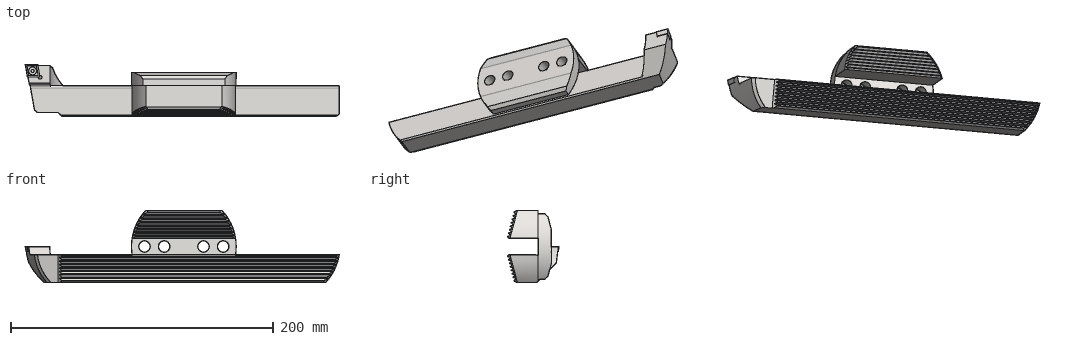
import cadquery as cq
import math

SWEEP_RADIUS = 40.0
HALF_HEIGHT = 27.5
HALF_GAP = 6.25
GRIP_HEIGHT = HALF_HEIGHT - HALF_GAP
GRIP_TILT = math.radians(15)
REACH = 200.0

FLANK_ANGLE = math.radians(30)
TOOTH_COUNT = 8
FACE_LENGTH = GRIP_HEIGHT / math.cos(GRIP_TILT)
TOOTH_PITCH = FACE_LENGTH / TOOTH_COUNT
TOOTH_FLAT = 0.35
TOOTH_DEPTH = (TOOTH_PITCH / 2 - TOOTH_FLAT) / math.tan(FLANK_ANGLE)
FIRST_TIP_Y = -23.5
TIP_START = (TOOTH_PITCH - TOOTH_FLAT) / 2
TIP_PLANE_Y = FIRST_TIP_Y - TIP_START * math.sin(GRIP_TILT)
END_CHAMFER = 2.2

PLATE_THICKNESS = 10.0
PLATE_HALF_HEIGHT = 25.0
PLATE_CHAMFER = 2.5
PLATE_TAPER_DEPTH = 2.5
HOLE_DIAMETER = 8.5
HOLE_POSITIONS = (-30.0, -15.0, 15.0, 30.0)

TOTAL_LENGTH = 239.57
CUTTING_TIP_X = -121.0
CUTTING_TIP_Y = 15.9
BAR_END_X = CUTTING_TIP_X + TOTAL_LENGTH
END_CENTRE_X = BAR_END_X - math.sqrt(SWEEP_RADIUS**2 - HALF_GAP**2)
LEDGE_WIDTH = 2.0
LEDGE_RIM_Z = -HALF_GAP - LEDGE_WIDTH * math.tan(GRIP_TILT)
WALL_FOOT_FILLET = 0.6
SELECT_TOLERANCE = 0.01
REAR_CHAMFER = 1.1
NOSE_ANGLE = math.radians(10)
HEAD_CLEARANCE = 0.5
HEAD_CORNER_X = CUTTING_TIP_X + HEAD_CLEARANCE
HEAD_REAR_Y = CUTTING_TIP_Y - HEAD_CLEARANCE
RELIEF_ANGLE = math.radians(7)
HEAD_INNER_X = -102.2
HEAD_STEP_X = -95.9
STEP_DEPTH = 3.0
CORNER_CHAMFER = 2.0

INSERT_WIDTH = 9.525
INSERT_THICKNESS = 3.97
CHIPBREAKER_RIM = 1.2
CHIPBREAKER_DEPTH = 0.2
INSERT_LEAN = INSERT_WIDTH * math.tan(NOSE_ANGLE)
INSERT_SIDE = INSERT_WIDTH / math.cos(NOSE_ANGLE)
INSERT_CENTRE_X = CUTTING_TIP_X + (INSERT_SIDE + INSERT_LEAN) / 2
INSERT_CENTRE_Y = CUTTING_TIP_Y - INSERT_WIDTH / 2
CORNER_HOLE_DIAMETER = 2.8

SCREW_HEAD_DIAMETER = 6.0
SCREW_SHANK_DIAMETER = 4.0
SCREW_HEAD_HEIGHT = 2.0
SCREW_RECESS = 0.3
SCREW_LENGTH = 10.0
SOCKET_DIAMETER = 2.6
SOCKET_DEPTH = 1.2
SOCKET_SIDES = 6


def face_point(along, depth):
    """(y, z) at a distance down the lower serrated face and a depth below its tip plane."""
    y = TIP_PLANE_Y + along * math.sin(GRIP_TILT) + depth * math.cos(GRIP_TILT)
    z = -HALF_GAP - along * math.cos(GRIP_TILT) + depth * math.sin(GRIP_TILT)
    return y, z


def plain_front():
    """Tip plane, listed from the bottom up."""
    return [face_point(FACE_LENGTH, 0), face_point(0, 0)]


def toothed_front():
    """Zigzag of the teeth, listed from the bottom up."""
    level_shift = TOOTH_DEPTH * math.tan(GRIP_TILT)
    points = [face_point(FACE_LENGTH + level_shift, TOOTH_DEPTH)]
    for i in reversed(range(TOOTH_COUNT)):
        start = i * TOOTH_PITCH
        end = start + TOOTH_PITCH
        if i < TOOTH_COUNT - 1:
            points.append(face_point(end - TOOTH_FLAT / 2, TOOTH_DEPTH))
        points.append(face_point(end - TIP_START, 0))
        points.append(face_point(start + TIP_START, 0))
        points.append(face_point(start + TOOTH_FLAT / 2, TOOTH_DEPTH))
    return points


def prism_along_x(points):
    return cq.Workplane("YZ").polyline(points).close().extrude(REACH, both=True)


def sweep_cylinder(centre_x):
    return cq.Workplane("XZ", origin=(centre_x, 0, 0)).circle(SWEEP_RADIUS).extrude(REACH, both=True)


def tooth_envelope():
    """Everything behind the zigzag of the lower serrated face."""
    return prism_along_x(toothed_front() + [(REACH, 0), (REACH, -REACH)])


def make_jaw():
    """Upper jaw, shaped below the slot and mirrored into place."""
    back = [(0, -HALF_GAP), (0, -HALF_HEIGHT)]
    block = prism_along_x(plain_front() + back).intersect(sweep_cylinder(0))
    block = block.faces("<Y").edges("not |X").chamfer(END_CHAMFER)
    block = block.intersect(tooth_envelope())
    return block.mirror("XY")


def make_plate():
    """Rear plate joining jaw and bar, drilled along its middle."""
    taper_y = PLATE_THICKNESS - PLATE_TAPER_DEPTH
    chamfer_z = PLATE_HALF_HEIGHT - PLATE_CHAMFER
    taper_z = chamfer_z - PLATE_TAPER_DEPTH / math.tan(GRIP_TILT)
    upper = [
        (PLATE_THICKNESS, taper_z),
        (taper_y, chamfer_z),
        (taper_y - PLATE_CHAMFER, PLATE_HALF_HEIGHT),
        (0, PLATE_HALF_HEIGHT),
    ]
    lower = [(y, -z) for y, z in reversed(upper)]
    holes = (
        cq.Workplane("XZ")
        .pushPoints([(x, 0) for x in HOLE_POSITIONS])
        .circle(HOLE_DIAMETER / 2)
        .extrude(REACH, both=True)
    )
    return prism_along_x(upper + lower).intersect(sweep_cylinder(0)).cut(holes)


def rounded_end(centre_x):
    """Everything left of a cylinder end centred on the cutting-edge height."""
    return (
        cq.Workplane("XZ")
        .moveTo(centre_x - 2 * REACH, SWEEP_RADIUS)
        .lineTo(centre_x, SWEEP_RADIUS)
        .threePointArc((centre_x + SWEEP_RADIUS, 0), (centre_x, -SWEEP_RADIUS))
        .lineTo(centre_x - 2 * REACH, -SWEEP_RADIUS)
        .close()
        .extrude(REACH, both=True)
    )


def make_shank():
    """Long serrated part of the bar with its rounded right end."""
    back = [
        (-LEDGE_WIDTH, -HALF_GAP),
        (0, LEDGE_RIM_Z),
        (0, REAR_CHAMFER - HALF_HEIGHT),
        (-REAR_CHAMFER, -HALF_HEIGHT),
    ]
    shank = prism_along_x(plain_front() + back).intersect(rounded_end(END_CENTRE_X))
    shank = shank.faces("<Y").edges(">X").chamfer(END_CHAMFER)
    return shank.intersect(tooth_envelope())


def make_head():
    """Block that carries the insert behind the shank."""
    wall_top_y = -LEDGE_RIM_Z * math.tan(GRIP_TILT)
    cut_offset = HALF_HEIGHT - REAR_CHAMFER
    rear_z = (HEAD_REAR_Y - cut_offset) / (1 - math.tan(RELIEF_ANGLE))
    profile = [
        (0, LEDGE_RIM_Z),
        (wall_top_y, 0),
        (HEAD_REAR_Y, 0),
        (rear_z + cut_offset, rear_z),
        (0, -cut_offset),
    ]
    sweep_centre_x = HEAD_INNER_X + SWEEP_RADIUS
    left_half = cq.Workplane("XY").box(REACH, REACH, REACH).translate((sweep_centre_x - REACH / 2, 0, 0))
    return prism_along_x(profile).intersect(left_half).cut(sweep_cylinder(sweep_centre_x))


def nose_envelope():
    """Rounded nose, leaning in plan about the head's rear corner."""
    envelope = rounded_end(0).mirror("YZ").translate((HEAD_CORNER_X + SWEEP_RADIUS, 0, 0))
    return envelope.rotate(
        (HEAD_CORNER_X, HEAD_REAR_Y, 0), (HEAD_CORNER_X, HEAD_REAR_Y, 1), math.degrees(NOSE_ANGLE)
    )


def front_step():
    """Cutter that removes the teeth in front of the head."""
    face_plane = cq.Plane(
        origin=(0, TIP_PLANE_Y, -HALF_GAP),
        xDir=(1, 0, 0),
        normal=(0, math.sin(GRIP_TILT), -math.cos(GRIP_TILT)),
    )
    return (
        cq.Workplane(face_plane)
        .polyline([
            (HEAD_STEP_X + STEP_DEPTH, 0),
            (HEAD_STEP_X, -STEP_DEPTH),
            (-REACH, -STEP_DEPTH),
            (-REACH, STEP_DEPTH),
            (HEAD_STEP_X + 2 * STEP_DEPTH, STEP_DEPTH),
        ])
        .close()
        .extrude(REACH, both=True)
    )


def rhombus():
    """Outline of the insert's top, with its sharp cutting corner at the rear left."""
    return (
        cq.Workplane("XY")
        .polyline([
            (CUTTING_TIP_X, CUTTING_TIP_Y),
            (CUTTING_TIP_X + INSERT_SIDE, CUTTING_TIP_Y),
            (CUTTING_TIP_X + INSERT_SIDE + INSERT_LEAN, CUTTING_TIP_Y - INSERT_WIDTH),
            (CUTTING_TIP_X + INSERT_LEAN, CUTTING_TIP_Y - INSERT_WIDTH),
        ])
        .close()
    )


def insert_blank():
    """Rhombic wedge whose sides lean in towards the seat."""
    return rhombus().extrude(-INSERT_THICKNESS, taper=math.degrees(RELIEF_ANGLE))


def make_screw():
    top = -SCREW_RECESS
    profile = [
        (0, top),
        (SCREW_HEAD_DIAMETER / 2, top),
        (SCREW_SHANK_DIAMETER / 2, top - SCREW_HEAD_HEIGHT),
        (SCREW_SHANK_DIAMETER / 2, -SCREW_LENGTH),
        (0, -SCREW_LENGTH),
    ]
    return (
        cq.Workplane("XZ")
        .polyline(profile)
        .close()
        .revolve(360, (0, 0, 0), (0, 1, 0))
        .faces(">Z")
        .workplane()
        .polygon(SOCKET_SIDES, SOCKET_DIAMETER)
        .cutBlind(-SOCKET_DEPTH)
        .translate((INSERT_CENTRE_X, INSERT_CENTRE_Y, 0))
    )


def screw_hole():
    """Countersunk hole that the screw fills up to its recessed head."""
    profile = [
        (0, 0),
        (SCREW_HEAD_DIAMETER / 2, 0),
        (SCREW_HEAD_DIAMETER / 2, -SCREW_RECESS),
        (SCREW_SHANK_DIAMETER / 2, -SCREW_RECESS - SCREW_HEAD_HEIGHT),
        (SCREW_SHANK_DIAMETER / 2, -SCREW_LENGTH),
        (0, -SCREW_LENGTH),
    ]
    hole = cq.Workplane("XZ").polyline(profile).close().revolve(360, (0, 0, 0), (0, 1, 0))
    return hole.translate((INSERT_CENTRE_X, INSERT_CENTRE_Y, 0))


def make_insert():
    chipbreaker = rhombus().offset2D(-CHIPBREAKER_RIM).extrude(-CHIPBREAKER_DEPTH)
    return insert_blank().cut(chipbreaker).cut(screw_hole())


def is_nose_corner(edge):
    """Curved edge between the nose and the flat in front of the head."""
    centre = edge.Center()
    return edge.geomType() != "LINE" and centre.x < HEAD_INNER_X and centre.y < -LEDGE_WIDTH


def is_wall_foot(edge):
    """Inside corner between the head's sloping inner wall and the ledge."""
    centre = edge.Center()
    at_ledge_rim = math.hypot(centre.y, centre.z - LEDGE_RIM_Z) < SELECT_TOLERANCE
    return at_ledge_rim and centre.x < HEAD_INNER_X + SWEEP_RADIUS / 2


def make_bar():
    bar = make_shank().union(make_head()).intersect(nose_envelope()).cut(front_step())
    bar = bar.edges().filter(is_nose_corner).chamfer(CORNER_CHAMFER)
    bar = bar.edges().filter(is_wall_foot).fillet(WALL_FOOT_FILLET)
    corner_hole = (
        cq.Workplane("XY")
        .center(CUTTING_TIP_X + INSERT_SIDE + INSERT_LEAN, CUTTING_TIP_Y - INSERT_WIDTH)
        .circle(CORNER_HOLE_DIAMETER / 2)
        .extrude(-INSERT_THICKNESS)
    )
    return bar.cut(insert_blank()).cut(corner_hole).cut(screw_hole())


bar = make_bar()
jaw = make_jaw()
plate = make_plate()
insert = make_insert()
insert_screw = make_screw()

result = cq.Compound.makeCompound([bar.val(), jaw.val(), plate.val(), insert.val(), insert_screw.val()])